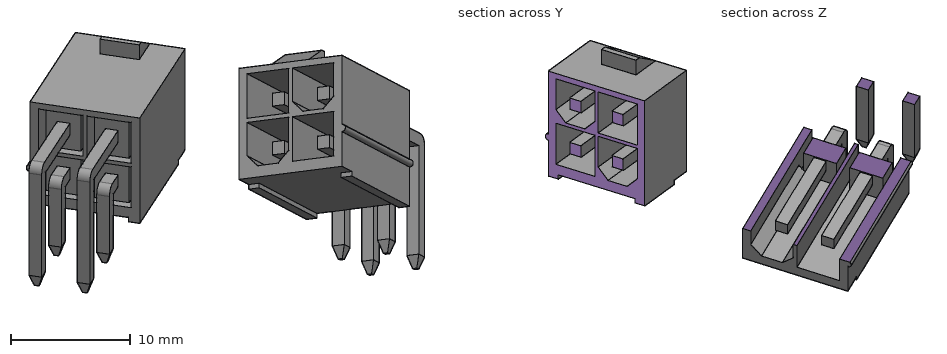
import cadquery as cq


body_width = 9.6
body_length = 12.8
body_top = 10.0
foot_height = 0.4
foot_length = 10.95
foot_gap = 7.63

pitch = 4.21
grid_center_z = 5.41
column_x = [-pitch / 2, pitch / 2]
lower_row_z = grid_center_z - pitch / 2
upper_row_z = grid_center_z + pitch / 2

cavity_size = 3.85
pocket_depth = 0.8
wall_thickness = 2.0
wall_width = 3.04
key_chamfer = 0.98
keyed_sockets = [(column_x[0], upper_row_z), (column_x[1], lower_row_z)]

latch_width = 3.43
latch_length = 3.0
latch_height = 1.4
latch_flat = 0.52
rib_radius = 0.32
rib_z = 3.71

pin_size = 1.12
pin_bend_radius = 0.8
pin_tip_size = 0.4
pin_tip_height = 1.08
pin_bottom_z = -3.5
upper_reach = 7.17
row_offset = 5.53
lower_reach = upper_reach - row_offset
pin_end_clearance = 2.0


def box(x_size, y_start, y_end, z_start, z_end, center_x=0.0):
    """Box centred on center_x, spanning the given Y and Z ranges."""
    solid = cq.Workplane("XY").box(x_size, y_end - y_start, z_end - z_start, centered=(True, False, False))
    return solid.translate((center_x, y_start, z_start))


def make_shell():
    """Housing block with two feet that stop short of the +Y face."""
    shell = box(body_width, 0, body_length, foot_height, body_top)
    foot_width = (body_width - foot_gap) / 2
    foot_x = (foot_gap + foot_width) / 2
    for x in (-foot_x, foot_x):
        shell = shell.union(box(foot_width, 0, foot_length, 0, foot_height, x))
    return shell


def make_cavity(x, z, keyed):
    """Volume removed for one contact: pocket, two slots beside the wall, and socket."""
    bottom = z - cavity_size / 2
    top = z + cavity_size / 2
    socket_start = pocket_depth + wall_thickness
    socket = box(cavity_size, socket_start, body_length, bottom, top, x)
    if keyed:
        socket = socket.faces("<Z").edges("|Y").chamfer(key_chamfer)
    passage = box(cavity_size, 0, socket_start, bottom, top, x)
    wall = box(wall_width, pocket_depth, socket_start, bottom, top, x)
    return passage.cut(wall).union(socket)


def make_latch():
    """Ramp rising from the +Y edge to a short flat top."""
    latch_start = body_length - latch_length
    peak = body_top + latch_height
    return (
        cq.Workplane("YZ")
        .moveTo(latch_start, body_top)
        .lineTo(latch_start, peak)
        .lineTo(latch_start + latch_flat, peak)
        .lineTo(body_length, body_top)
        .close()
        .extrude(latch_width / 2, both=True)
    )


def make_rib():
    """Rod along the -X face; its outer half stands proud of the housing."""
    return (
        cq.Workplane("XZ")
        .center(-body_width / 2, rib_z)
        .circle(rib_radius)
        .extrude(-body_length)
    )


def make_pin(x, z, reach):
    """Square pin: arm through the housing, rounded outer bend, leg and tapered tip."""
    leg_bottom = pin_bottom_z + pin_tip_height
    arm_top = z + pin_size / 2
    arm = box(pin_size, -reach, body_length - pin_end_clearance, z - pin_size / 2, arm_top, x)
    leg = box(pin_size, -reach, -reach + pin_size, leg_bottom, arm_top, x)
    bent_pin = arm.union(leg).edges("|X and >Z and <Y").fillet(pin_bend_radius)
    tip = (
        cq.Workplane("XY", origin=(x, -reach + pin_size / 2, leg_bottom))
        .rect(pin_size, pin_size)
        .workplane(offset=-pin_tip_height)
        .rect(pin_tip_size, pin_tip_size)
        .loft()
    )
    return bent_pin.union(tip)


result = make_shell().union(make_rib())
contacts = [
    (x, z, reach)
    for x in column_x
    for z, reach in ((lower_row_z, lower_reach), (upper_row_z, upper_reach))
]
for x, z, _ in contacts:
    result = result.cut(make_cavity(x, z, (x, z) in keyed_sockets))
result = result.union(make_latch())
for x, z, reach in contacts:
    result = result.union(make_pin(x, z, reach))